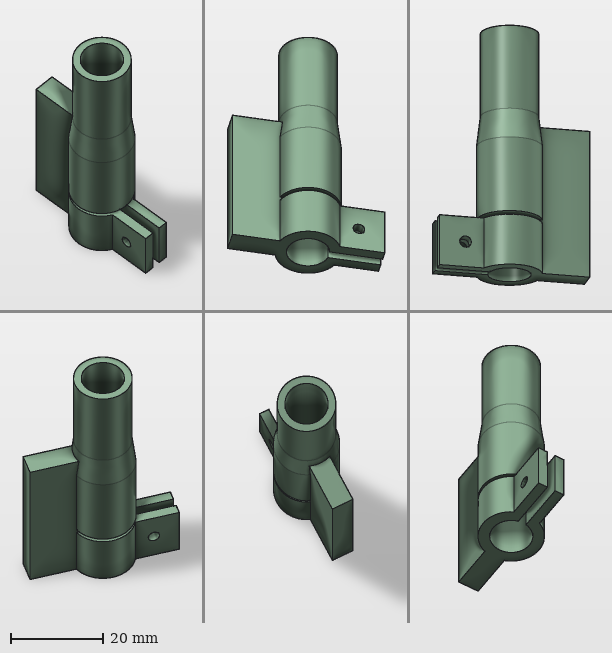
import cadquery as cq

total_height = 55.1
body_radius = 7.2
neck_radius = 6.4
bore_radius = 4.7
taper_bottom = 29.2
taper_top = 36.05

clamp_height = 11.45
gap_height = 0.8

plate_outer_x = -17.35
plate_thickness = 5.0
plate_height = 33.45

lug_end_x = 16.35
lug_thickness = 2.25
lug_spacing = 2.0
lug_center_y = -0.1
bolt_diameter = 2.55
bolt_x = 10.6
bolt_z = clamp_height / 2


def box_between(x_start, x_end, width, height, center_y=0):
    """Upright block standing on the base plane, from x_start to x_end."""
    block = cq.Workplane("XY").box(x_end - x_start, width, height, centered=(False, True, False))
    return block.translate((x_start, center_y, 0))


def stepped_tube():
    """Solid of revolution that tapers from the body to the neck."""
    profile = [
        (0, 0),
        (body_radius, 0),
        (body_radius, taper_bottom),
        (neck_radius, taper_top),
        (neck_radius, total_height),
        (0, total_height),
    ]
    return cq.Workplane("XZ").polyline(profile).close().revolve(360, (0, 0), (0, 1))


def separating_gap():
    """Flat disc that removes a full slice of the tube above the clamp ring."""
    return cq.Workplane("XY").workplane(offset=clamp_height).circle(2 * body_radius).extrude(gap_height)


def bolt_hole():
    """Cross hole through both lugs."""
    hole = cq.Workplane("XZ").center(bolt_x, bolt_z).circle(bolt_diameter / 2)
    return hole.extrude(body_radius, both=True)


bore = cq.Workplane("XY").circle(bore_radius).extrude(total_height)

lug_block = box_between(0, lug_end_x, 2 * lug_thickness + lug_spacing, clamp_height, lug_center_y)
clamp_slot = box_between(0, lug_end_x, lug_spacing, clamp_height, lug_center_y)

plate = box_between(plate_outer_x, -bore_radius, plate_thickness, plate_height)

result = stepped_tube().cut(separating_gap()).union(lug_block)
result = result.cut(clamp_slot).cut(bolt_hole()).union(plate).cut(bore)